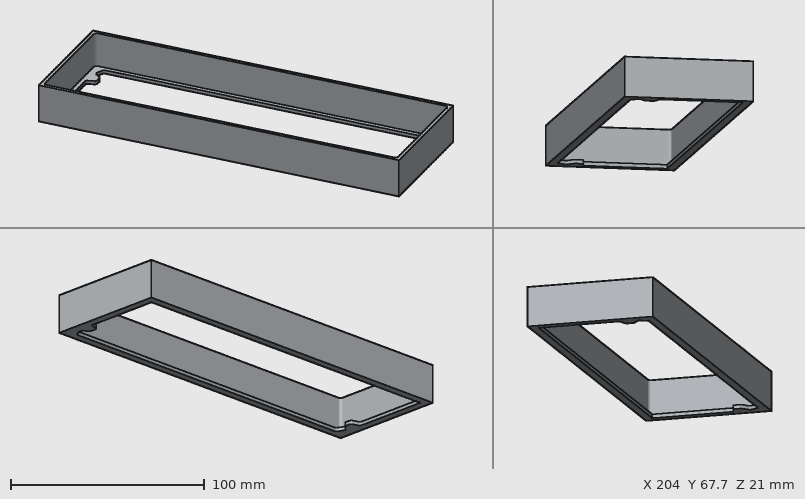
import cadquery as cq

length = 204.0
width = 67.7
height = 21.0
wall = 2.0
inner_corner_radius = 1.6

ledge_thickness = 2.0
ledge_reach = 4.7

rear_corner_inset = 8.2
notch_inset = 6.0
notch_depth = 9.8
tab_inset = 10.0
tab_front_depth = 17.8
tab_rear_depth = 13.3
tab_root_depth = 19.2

rear_corner_radius = 1.2
notch_radius = 1.2
tab_radius = 1.6
tab_root_radius = 0.8

half_length = length / 2
half_width = width / 2


def make_walls():
    """Rectangular tray, hollow above the ledge with rounded inside corners."""
    cavity = (
        cq.Workplane("XY", origin=(0, 0, ledge_thickness))
        .rect(length - 2 * wall, width - 2 * wall)
        .extrude(height - ledge_thickness)
        .edges("|Z")
        .fillet(inner_corner_radius)
    )
    body = cq.Workplane("XY").rect(length, width).extrude(height)
    return body.cut(cavity)


def make_opening():
    """Floor opening, necked by a rounded tab near each rear corner."""
    side_corners = [
        (rear_corner_inset, ledge_reach, rear_corner_radius),
        (notch_inset, notch_depth, notch_radius),
        (tab_inset, tab_rear_depth, tab_radius),
        (tab_inset, tab_front_depth, tab_radius),
        (ledge_reach, tab_root_depth, tab_root_radius),
    ]
    front_corner = (ledge_reach - half_length, ledge_reach - half_width)

    left = [(x - half_length, half_width - y) for x, y, _ in side_corners]
    left.append(front_corner)
    right = [(-x, y) for x, y in reversed(left)]
    opening = cq.Workplane("XY").polyline(left + right).close().extrude(ledge_thickness)

    for x_inset, y_inset, radius in side_corners:
        for side in (-1, 1):
            corner = (side * (half_length - x_inset), half_width - y_inset, ledge_thickness / 2)
            opening = (
                opening.edges("|Z")
                .edges(cq.selectors.NearestToPointSelector(corner))
                .fillet(radius)
            )
    return opening


result = make_walls().cut(make_opening())